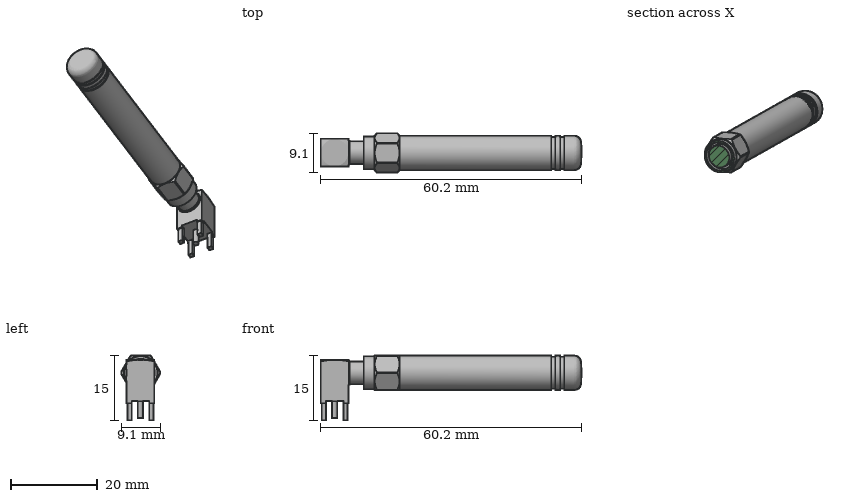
import cadquery as cq
import math

OVERALL_LENGTH = 60.25
OVERALL_HEIGHT = 15.0
TUBE_DIAMETER = 8.0
LEFT_END = -OVERALL_LENGTH / 2
RIGHT_END = OVERALL_LENGTH / 2

CONNECTOR_Y = 0.05
BLOCK_WIDTH = 6.45
BLOCK_TOP = 3.0
BLOCK_BOTTOM = -7.05
BLOCK_X = LEFT_END + BLOCK_WIDTH / 2
BLOCK_RIGHT = LEFT_END + BLOCK_WIDTH
TOP_CIRCLE_RADIUS = BLOCK_WIDTH / 2 - 0.09
TOP_CONE_ANGLE = 15.0

RECESS_DEPTH = 0.55
LEG_WIDTH = 1.0
LEG_INSET = 0.21
LEG_LENGTH = BLOCK_BOTTOM - (TUBE_DIAMETER / 2 - OVERALL_HEIGHT)
LEG_PITCH = BLOCK_WIDTH - 2 * LEG_INSET - LEG_WIDTH
RECESS_WIDTH = LEG_PITCH - LEG_WIDTH
PIN_DIAMETER = 1.25
PIN_LENGTH = 4.0

NECK_DIAMETER = 5.3
COLLAR_DIAMETER = 5.8
COLLAR_LENGTH = 0.3

SLEEVE_LEFT = -20.25
SLEEVE_DIAMETER = 7.65
BORE_DIAMETER = 6.5
NUT_LEFT = -17.7
NUT_RIGHT = -11.85
NUT_ACROSS_FLATS = TUBE_DIAMETER
NUT_ACROSS_CORNERS = 9.1
NUT_END_DIAMETER = NUT_ACROSS_FLATS - 0.2
NUT_CHAMFER_LENGTH = 0.55
BORE_FLOOR = NUT_LEFT

GROOVE_DIAMETER = 7.5
GROOVE_WIDTH = 0.9
GROOVE_LEFTS = (23.15, 25.1)
TIP_EDGE_RADIUS = 1.6
TIP_DOME_RADIUS = 24.1


def rod(left, right, diameter):
    """Cylinder on the X axis between two X positions."""
    return cq.Workplane("YZ", origin=(left, 0, 0)).circle(diameter / 2).extrude(right - left)


def block_plane(height):
    """Horizontal workplane at the given height, centred on the block."""
    return cq.Workplane("XY", origin=(BLOCK_X, 0, height))


def block_with_recesses():
    """Square block with a shallow conical top and a cross-shaped recess underneath."""
    height = BLOCK_TOP - BLOCK_BOTTOM
    block = block_plane(BLOCK_BOTTOM).rect(BLOCK_WIDTH, BLOCK_WIDTH).extrude(height)

    cone_base_radius = BLOCK_WIDTH
    cone_drop = (cone_base_radius - TOP_CIRCLE_RADIUS) * math.tan(math.radians(TOP_CONE_ANGLE))
    envelope = (
        cq.Workplane("XZ")
        .moveTo(0, BLOCK_BOTTOM)
        .lineTo(cone_base_radius, BLOCK_BOTTOM)
        .lineTo(cone_base_radius, BLOCK_TOP - cone_drop)
        .lineTo(TOP_CIRCLE_RADIUS, BLOCK_TOP)
        .lineTo(0, BLOCK_TOP)
        .close()
        .revolve(360, (0, 0, 0), (0, 1, 0))
        .translate((BLOCK_X, 0, 0))
    )
    block = block.intersect(envelope)

    recess_base = block_plane(BLOCK_BOTTOM)
    block = block.cut(recess_base.rect(RECESS_WIDTH, BLOCK_WIDTH).extrude(RECESS_DEPTH))
    return block.cut(recess_base.rect(BLOCK_WIDTH, RECESS_WIDTH).extrude(RECESS_DEPTH))


def board_legs():
    """Four square legs under the block corners."""
    return (
        block_plane(BLOCK_BOTTOM - LEG_LENGTH)
        .rect(LEG_PITCH, LEG_PITCH, forConstruction=True)
        .vertices()
        .rect(LEG_WIDTH, LEG_WIDTH)
        .extrude(LEG_LENGTH)
    )


def centre_pin():
    """Round signal pin hanging from the recess floor."""
    pin_end = BLOCK_BOTTOM + RECESS_DEPTH - PIN_LENGTH
    return block_plane(pin_end).circle(PIN_DIAMETER / 2).extrude(PIN_LENGTH)


def neck():
    """Neck with a tapered collar at the block, reaching the floor of the antenna bore."""
    return (
        cq.Workplane("XY")
        .moveTo(BLOCK_RIGHT, 0)
        .lineTo(BLOCK_RIGHT, COLLAR_DIAMETER / 2)
        .lineTo(BLOCK_RIGHT + COLLAR_LENGTH, NECK_DIAMETER / 2)
        .lineTo(BORE_FLOOR, NECK_DIAMETER / 2)
        .lineTo(BORE_FLOOR, 0)
        .close()
        .revolve(360, (0, 0, 0), (1, 0, 0))
    )


def make_connector():
    """Block, legs, pin and neck as one solid."""
    body = block_with_recesses().union(board_legs()).union(centre_pin()).union(neck())
    return body.translate((0, CONNECTOR_Y, 0))


def hex_nut():
    """Hexagon with flats facing +Z and -Z, trimmed corners and conical ends."""
    length = NUT_RIGHT - NUT_LEFT
    sharp_corners = NUT_ACROSS_FLATS / math.cos(math.radians(30))
    hexagon = cq.Workplane("YZ", origin=(NUT_LEFT, 0, 0)).polygon(6, sharp_corners).extrude(length)
    end_radius = NUT_END_DIAMETER / 2
    corner_radius = NUT_ACROSS_CORNERS / 2
    envelope = (
        cq.Workplane("XY")
        .moveTo(NUT_LEFT, 0)
        .lineTo(NUT_LEFT, end_radius)
        .lineTo(NUT_LEFT + NUT_CHAMFER_LENGTH, corner_radius)
        .lineTo(NUT_RIGHT - NUT_CHAMFER_LENGTH, corner_radius)
        .lineTo(NUT_RIGHT, end_radius)
        .lineTo(NUT_RIGHT, 0)
        .close()
        .revolve(360, (0, 0, 0), (1, 0, 0))
    )
    return hexagon.intersect(envelope)


def antenna_tube():
    """Tube with a slightly domed, rounded tip and two shallow ring grooves near it."""
    radius = TUBE_DIAMETER / 2
    dome_drop = TIP_DOME_RADIUS - math.sqrt(TIP_DOME_RADIUS**2 - radius**2)
    dome_rim = RIGHT_END - dome_drop
    half_angle = math.asin(radius / TIP_DOME_RADIUS) / 2
    dome_middle = (
        RIGHT_END - TIP_DOME_RADIUS * (1 - math.cos(half_angle)),
        TIP_DOME_RADIUS * math.sin(half_angle),
    )
    tube = (
        cq.Workplane("XY")
        .moveTo(NUT_RIGHT, 0)
        .lineTo(NUT_RIGHT, radius)
        .lineTo(dome_rim, radius)
        .threePointArc(dome_middle, (RIGHT_END, 0))
        .close()
        .revolve(360, (0, 0, 0), (1, 0, 0))
    )
    rim_selector = cq.selectors.NearestToPointSelector((dome_rim, 0, 0))
    tube = tube.edges(rim_selector).fillet(TIP_EDGE_RADIUS)
    for left in GROOVE_LEFTS:
        right = left + GROOVE_WIDTH
        tube = tube.cut(rod(left, right, TUBE_DIAMETER).cut(rod(left, right, GROOVE_DIAMETER)))
    return tube


def make_antenna():
    """Hollow sleeve, nut and tube as one solid."""
    sleeve = rod(SLEEVE_LEFT, NUT_LEFT, SLEEVE_DIAMETER)
    bore = rod(SLEEVE_LEFT, BORE_FLOOR, BORE_DIAMETER)
    return hex_nut().union(sleeve.cut(bore)).union(antenna_tube())


connector = make_connector()
antenna = make_antenna()

result = cq.Compound.makeCompound([connector.val(), antenna.val()])